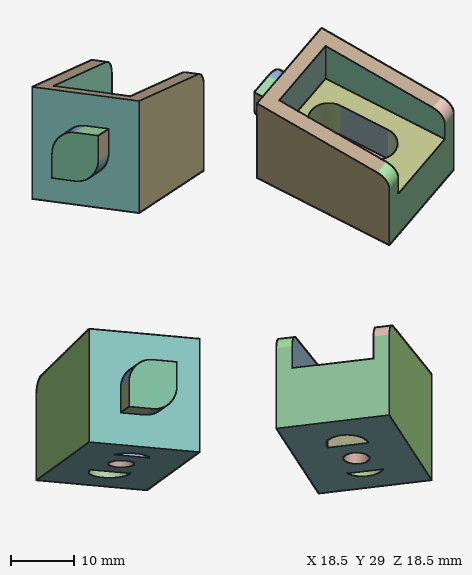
import cadquery as cq
import math

overall_length = 29.0
body_width = 18.5
body_height = 18.5
key_length = 4.0
body_length = overall_length - key_length
top_slope = 5.0
back_edge_radius = 2.5

channel_width = 13.28
front_wall = 2.5
floor_height = 10.2

slot_width = 6.6
slot_length = 15.6
slot_center_y = 12.0
bridge_length = 10.0
bridge_center_y = 11.0
bridge_thickness = 3.0
bridge_hole_diameter = 4.15

key_size = 8.0
key_radius = key_size / 2


def make_body():
    back_height = body_height - body_length * math.tan(math.radians(top_slope))
    profile = [(0, 0), (body_length, 0), (body_length, back_height), (0, body_height)]
    block = cq.Workplane("YZ").polyline(profile).close().extrude(body_width / 2, both=True)
    return block.faces(">Y").edges("|X").edges(">Z").fillet(back_edge_radius)


def make_channel():
    return (
        cq.Workplane("XY", origin=(0, front_wall, floor_height))
        .box(channel_width, body_length, body_height, centered=(True, False, False))
    )


def make_slot():
    return (
        cq.Workplane("XY", origin=(0, slot_center_y, 0))
        .slot2D(slot_length, slot_width, 90)
        .extrude(floor_height)
    )


def make_bridge(slot):
    bar = (
        cq.Workplane("XY", origin=(0, bridge_center_y, 0))
        .rect(slot_width, bridge_length)
        .circle(bridge_hole_diameter / 2)
        .extrude(bridge_thickness)
    )
    return bar.intersect(slot)


def make_key():
    arc_offset = key_radius * math.sqrt(0.5)
    outline_plane = cq.Workplane("XZ", origin=(0, 0, body_height / 2))
    return (
        outline_plane.moveTo(-key_radius, -key_radius)
        .lineTo(0, -key_radius)
        .threePointArc((arc_offset, -arc_offset), (key_radius, 0))
        .lineTo(key_radius, key_radius)
        .lineTo(0, key_radius)
        .threePointArc((-arc_offset, arc_offset), (-key_radius, 0))
        .close()
        .extrude(key_length)
    )


slot = make_slot()
result = make_body().cut(make_channel()).cut(slot).union(make_bridge(slot)).union(make_key())